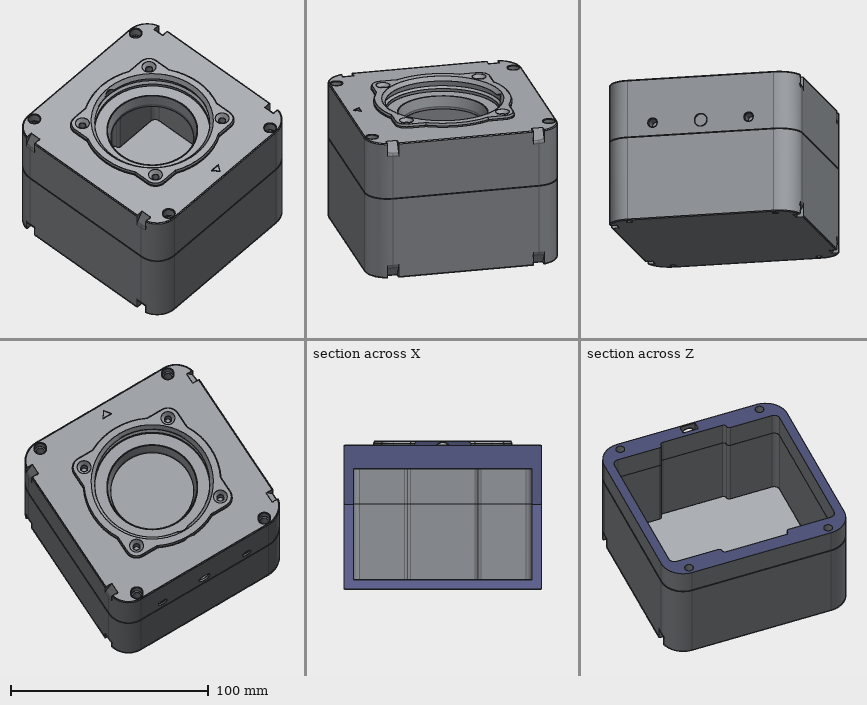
import cadquery as cq
width = 100.0
half = width / 2
corner_radius = 12.0
total_height = 75.0
flange_height = 2.0
housing_top = total_height - flange_height
split_z = 43.1
edge_chamfer = 0.5
joint_chamfer = 0.2

floor_thickness = 5.0
roof_z = 61.0
cavity_half_x = 39.3
cavity_half_y = 45.0
cavity_corner_radius = 3.0
recess_depth = 3.0
recess_bend_radius = recess_depth / 2
recess_half_length = 19.3

screw_x = 46.0
screw_y = 38.0
screw_tap_d = 3.0
screw_clearance_d = 4.2
screw_head_d = 5.8
screw_head_mouth_d = 6.5
screw_head_depth = 5.0

notch_inner_x = 35.0
notch_width = 5.8
notch_depth = 4.0
notch_height = 6.1
notch_round = 3.0
notch_foot_reach = 1.0

groove_d = 61.1
seat_d = 58.2
groove_bottom_z = 69.9
seat_cone_end_z = 68.9
seat_z = 67.4

ring_outer_d = 46.0
ring_mouth_d = 45.2
ring_bore_d = 42.0
ring_cone_end_z = 62.3

flange_d = 70.0
flange_square = 62.0
flange_corner_radius = 6.0
flange_mouth_d = 61.8
flange_chamfer_height = 1.2
flange_chamfer_inset = 0.5
flange_screw_xy = 25.0
flange_screw_d = 3.5
flange_sink_d = 7.0
flange_tap_depth = 4.0
clamp_notch_d = 8.2
clamp_notch_z = 70.2

side_hole_z = 50.0
side_hole_y = 25.0
side_tap_d = 4.2
side_tap_mouth_d = 5.0
side_tap_mouth_depth = 0.8
side_tap_depth = 8.0
window_d = 6.5
window_wall = 1.0
window_chamber_width = 8.0
window_chamber_height = 12.0
window_chamber_depth = 4.0

arrow_base_x = 42.9
arrow_tip_x = 46.4
arrow_half_width = 2.5
arrow_depth = 0.5


def cone(d_low, d_high, z_low, z_high):
    """Solid cone or cylinder about the Z axis."""
    profile = [(0, z_low), (d_low / 2, z_low), (d_high / 2, z_high), (0, z_high)]
    return cq.Workplane("XZ").polyline(profile).close().revolve(360, (0, 0), (0, 1))


def block(z_low, z_high):
    """Square block with rounded vertical corners."""
    height = z_high - z_low
    return (
        cq.Workplane("XY").workplane(offset=z_low).rect(width, width).extrude(height)
        .edges("|Z").fillet(corner_radius)
    )


def cavity(z_low, z_high):
    """Inner space, widened in the middle of its -X and +X walls."""
    height = z_high - z_low
    base = cq.Workplane("XY").workplane(offset=z_low)
    room = (
        base.rect(2 * cavity_half_x, 2 * cavity_half_y).extrude(height)
        .edges("|Z").fillet(cavity_corner_radius)
    )
    bend = recess_bend_radius
    x_inner = cavity_half_x
    x_outer = cavity_half_x + recess_depth
    y_outer = recess_half_length
    y_inner = recess_half_length - 2 * bend
    recess = (
        base.moveTo(0, y_outer).lineTo(x_inner, y_outer)
        .radiusArc((x_inner + bend, y_outer - bend), -bend)
        .radiusArc((x_outer, y_inner), bend)
        .lineTo(x_outer, -y_inner)
        .radiusArc((x_inner + bend, -y_outer + bend), bend)
        .radiusArc((x_inner, -y_outer), -bend)
        .lineTo(0, -y_outer).close().extrude(height)
    )
    return room.union(recess).union(recess.mirror("YZ"))


def cut_edge_notches(body, z_edge, inward):
    """Cut four sloped notches along one rim; inward is the Z direction into the body."""
    z_foot = z_edge + inward * notch_height
    side = [(-half + notch_depth, z_edge), (-half, z_foot), (-half, z_edge)]
    notch = cq.Workplane("YZ").workplane(offset=notch_inner_x).polyline(side).close().extrude(notch_width)
    pair = notch.union(notch.mirror("YZ"))
    body = body.cut(pair.union(pair.mirror("XZ")))

    z_low = z_foot - notch_foot_reach
    z_high = z_foot + notch_foot_reach
    for x_side in (-1, 1):
        for y_side in (-1, 1):
            near = (x_side * (notch_inner_x - notch_foot_reach), y_side * (half - notch_foot_reach), z_low)
            far = (x_side * (screw_x - notch_foot_reach), y_side * (half + notch_foot_reach), z_high)
            foot = body.edges(cq.selectors.BoxSelector(near, far)).edges("not |Z").edges("not |Y")
            body = foot.fillet(notch_round)
    return body


def four_holes(x, y, d_low, d_high, z_low, z_high):
    """The same hole at (+-x, +-y)."""
    hole = cone(d_low, d_high, z_low, z_high)
    holes = cq.Workplane("XY")
    for x_side in (-1, 1):
        for y_side in (-1, 1):
            holes = holes.union(hole.translate((x_side * x, y_side * y, 0)))
    return holes


def corner_holes(d_low, d_high, z_low, z_high):
    return four_holes(screw_x, screw_y, d_low, d_high, z_low, z_high)


def flange_holes(d_low, d_high, z_low, z_high):
    return four_holes(flange_screw_xy, flange_screw_xy, d_low, d_high, z_low, z_high)


def side_hole(d_outer, d_inner, depth_start, depth_end, y):
    """Hole or chamfer entering the -X side, sized at both its ends."""
    hole = cone(d_outer, d_inner, depth_start, depth_end)
    return hole.rotate((0, 0, 0), (0, 1, 0), 90).translate((-half, y, side_hole_z))


def make_lower_housing():
    body = block(0, split_z)
    body = body.faces("<Z").edges().chamfer(edge_chamfer)
    body = body.faces(">Z").edges().chamfer(joint_chamfer)
    body = body.cut(cavity(floor_thickness, split_z))
    body = body.cut(corner_holes(screw_tap_d, screw_tap_d, 0, split_z))
    return cut_edge_notches(body, 0, 1)


def make_upper_housing():
    body = block(split_z, housing_top)
    body = body.faces(">Z").edges().chamfer(edge_chamfer)
    body = body.faces("<Z").edges().chamfer(joint_chamfer)
    body = body.cut(cavity(split_z, roof_z))
    body = cut_edge_notches(body, housing_top, -1)

    body = body.cut(cone(groove_d, groove_d, groove_bottom_z, housing_top))
    body = body.cut(cone(seat_d, groove_d, seat_cone_end_z, groove_bottom_z))
    body = body.cut(cone(seat_d, seat_d, seat_z, seat_cone_end_z))
    body = body.cut(cone(ring_outer_d, ring_outer_d, roof_z, seat_z))

    head_z = housing_top - screw_head_depth
    mouth_z = housing_top - (screw_head_mouth_d - screw_head_d) / 2
    body = body.cut(corner_holes(screw_clearance_d, screw_clearance_d, split_z, head_z))
    body = body.cut(corner_holes(screw_head_d, screw_head_d, head_z, housing_top))
    body = body.cut(corner_holes(screw_head_d, screw_head_mouth_d, mouth_z, housing_top))

    body = body.cut(flange_holes(flange_screw_d, flange_screw_d, housing_top - flange_tap_depth, housing_top))

    for y in (-side_hole_y, side_hole_y):
        body = body.cut(side_hole(side_tap_d, side_tap_d, 0, side_tap_depth, y))
        body = body.cut(side_hole(side_tap_mouth_d, side_tap_d, 0, side_tap_mouth_depth, y))

    body = body.cut(side_hole(window_d, window_d, 0, window_wall, 0))
    chamber = cq.Workplane("XY").box(
        window_chamber_depth, window_chamber_width, window_chamber_height, centered=(False, True, True)
    )
    body = body.cut(chamber.translate((-half + window_wall, 0, side_hole_z)))

    arrow = [
        (arrow_base_x, -arrow_half_width),
        (arrow_tip_x, 0),
        (arrow_base_x, arrow_half_width),
    ]
    return body.cut(
        cq.Workplane("XY").workplane(offset=housing_top).polyline(arrow).close().extrude(-arrow_depth)
    )


def make_flange():
    base = cq.Workplane("XY").workplane(offset=housing_top)
    square = (
        base.rect(flange_square, flange_square).extrude(flange_height)
        .edges("|Z").fillet(flange_corner_radius)
    )
    disc = cq.Workplane("XY").workplane(offset=housing_top).circle(flange_d / 2).extrude(flange_height)
    square = square.faces(">Z").chamfer(flange_chamfer_height, flange_chamfer_inset)
    disc = disc.faces(">Z").chamfer(flange_chamfer_height, flange_chamfer_inset)
    body = square.union(disc)
    body = body.cut(cone(seat_d, flange_mouth_d, housing_top, total_height))
    sink_z = total_height - (flange_sink_d - flange_screw_d) / 2
    body = body.cut(flange_holes(flange_screw_d, flange_screw_d, housing_top, total_height))
    body = body.cut(flange_holes(flange_screw_d, flange_sink_d, sink_z, total_height))

    clamp = cq.Workplane("YZ").center(0, clamp_notch_z).circle(clamp_notch_d / 2).extrude(-flange_d / 2)
    return body.cut(clamp)


def make_seat_ring():
    body = cone(ring_outer_d, ring_outer_d, roof_z, seat_z)
    body = body.cut(cone(ring_bore_d, ring_bore_d, roof_z, seat_z))
    return body.cut(cone(ring_bore_d, ring_mouth_d, ring_cone_end_z, seat_z))


lower_housing = make_lower_housing()
upper_housing = make_upper_housing()
flange = make_flange()
seat_ring = make_seat_ring()

result = cq.Compound.makeCompound(
    [lower_housing.val(), upper_housing.val(), flange.val(), seat_ring.val()]
)